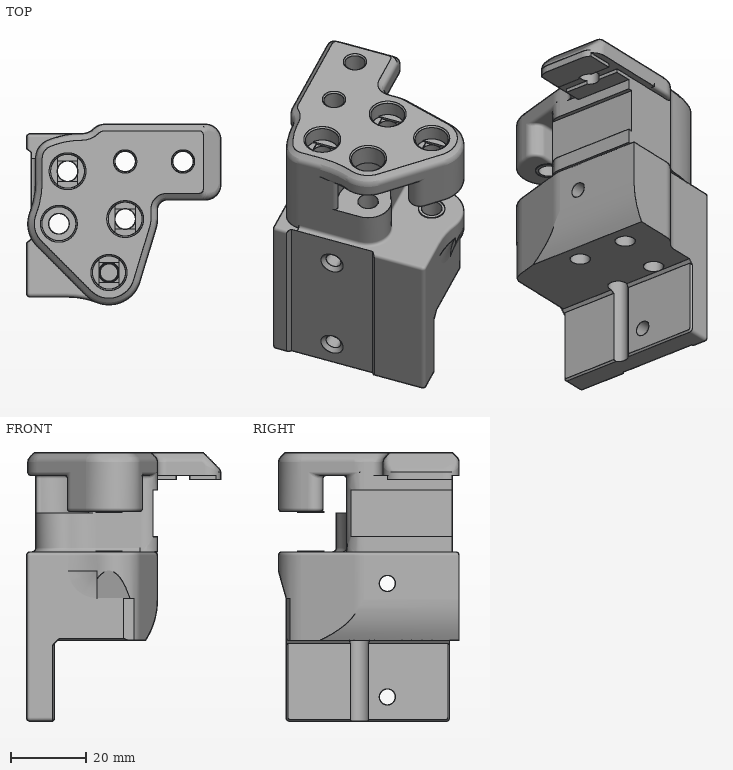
import cadquery as cq
import math

TOTAL_X = 51.65
TOTAL_Y = 48.02
TOTAL_Z = 71.4

TOLERANCE = 0.05

BLOCK_BOTTOM = 21.55
BLOCK_TOP = 45.05
LEVER_SEAT = 55.4
LOBE_BOTTOM = 55.7
CAP_BOTTOM = 65.3
PAD_BOTTOM = 64.25

FRONT_SCREW = (21.9, 8.6)
CENTER_SCREW = (26.2, 22.8)
PIVOT = (8.6, 21.55)
REAR_SCREW = (10.9, 35.5)
ARM_HOLES = [(26.2, 38.1), (41.55, 38.1)]
CORNER_RADIUS = 8.6
PIVOT_CORNER_RADIUS = 8.3
PIVOT_BOSS_RADIUS = 6.2

BODY_LEFT = PIVOT[0] - PIVOT_BOSS_RADIUS
BODY_RIGHT = CENTER_SCREW[0] + CORNER_RADIUS
BODY_BACK = TOTAL_Y - 1.8
SHOULDER_X = 14.7
STEP_END_X = 20.9
SHOULDER_SWEEP = 24.0
REAR_CORNER_Y = 38.9
WAIST_RADIUS = 23.1
ARM_FRONT = 27.85
ARM_CORNER_RADIUS = 4.2
ARM_FILLET = 2.5

PLATE_THICKNESS = 7.4
BASE_FRONT = 2.05
BASE_BACK = 45.5
GROOVE_DEPTH = 1.2
GROOVE_FLANK = 0.95
GROOVE_FLOOR_Y = (17.4, 40.55)
BASE_ROUND = 1.0
NOTCH_CHAMFER = 0.8
INNER_EDGE_CHAMFER = 0.5
BLOCK_CORNER_RADIUS = 20.0
BLOCK_CORNER_DROP = 10.8

BULGE_START_X = 11.1
BULGE_FOOT_Z = 32.7
BULGE_NOSE_Z = 40.0
RELIEF_CHAMFER = ((25.8, BASE_FRONT), (28.5, 3.1))

BODY_FRONT = 18.1
BOSS_BLEND_RADIUS = 12.5
BODY_CORNER_RADIUS = 4.1
POCKET_RADIUS = 8.2
POCKET_EDGE_ROUND = 1.0
SIDE_RECESS_X = 33.6
SIDE_RECESS_Z = (49.1, 61.4)
BODY_FOOT_FILLET = 1.0

CAP_CHAMFER = 1.77
CAP_BLEND = 2.0
TIP_CHAMFER = 4.7
LOBE_BACK = 11.9
LOBE_CORNER_RADIUS = 3.1
LOWER_ROUND = 0.9
CEILING_FILLET = 0.8
PAD_INSET = 1.2
PAD_GROOVE_WIDTH = 3.5

SCREW_DIAMETER = 5.4
HEAD_DIAMETER = 9.0
FRONT_HEAD_DIAMETER = 8.8
HEAD_DEPTH = 4.6
BRIDGE_STEP = 0.3
RIM_CHAMFER = 0.4
SPACER_DIAMETER = 7.0
SPACER_HEIGHT = 0.25
INSERT_DIAMETER = 5.12
INSERT_TIP_DIAMETER = 4.63
INSERT_DEPTH = 12.0
INSERT_LENGTH = 7.0
MOUNT_DIAMETER = 4.2
MOUNT_SINK = 1.05
MOUNT_Y = 28.95
MOUNT_Z = (6.5, 36.65)


def toward(origin, target, distance):
    """Point at a distance from origin in the direction of target."""
    dx = target[0] - origin[0]
    dy = target[1] - origin[1]
    scale = distance / math.hypot(dx, dy)
    return (origin[0] + dx * scale, origin[1] + dy * scale)


def arc_to(path, center, start, end):
    """Extend the path by the shorter arc about center from start to end."""
    radius = math.dist(center, start)
    chord_middle = ((start[0] + end[0]) / 2, (start[1] + end[1]) / 2)
    return path.threePointArc(toward(center, chord_middle, radius), end)


def right_tangent(start, start_radius, end, end_radius):
    """Points where a line touches two circles on the right of the start-to-end direction."""
    length = math.dist(start, end)
    ux = (end[0] - start[0]) / length
    uy = (end[1] - start[1]) / length
    along = (start_radius - end_radius) / length
    across = math.sqrt(1 - along**2)
    nx = ux * along + uy * across
    ny = uy * along - ux * across
    return (
        (start[0] + nx * start_radius, start[1] + ny * start_radius),
        (end[0] + nx * end_radius, end[1] + ny * end_radius),
    )


FLANK_LOW, FLANK_HIGH = right_tangent(FRONT_SCREW, CORNER_RADIUS, CENTER_SCREW, CORNER_RADIUS)
BEVEL_REAR, BEVEL_FRONT = right_tangent(PIVOT, PIVOT_CORNER_RADIUS, FRONT_SCREW, CORNER_RADIUS)


def flank_point(y):
    """Point of the straight right flank at the given Y."""
    slope = (FLANK_HIGH[0] - FLANK_LOW[0]) / (FLANK_HIGH[1] - FLANK_LOW[1])
    return (FLANK_LOW[0] + (y - FLANK_LOW[1]) * slope, y)


def rear_step(path):
    """S-shaped step from the end of the straight back edge down to the shoulder."""
    rise = TOTAL_Y - BASE_BACK
    run = STEP_END_X - SHOULDER_X
    radius = (run**2 + rise**2) / (4 * rise)
    start = (STEP_END_X, TOTAL_Y)
    middle = ((STEP_END_X + SHOULDER_X) / 2, (TOTAL_Y + BASE_BACK) / 2)
    path = path.lineTo(*start)
    path = arc_to(path, (STEP_END_X, TOTAL_Y - radius), start, middle)
    return arc_to(path, (SHOULDER_X, BASE_BACK + radius), middle, (SHOULDER_X, BASE_BACK))


def rear_edge(path):
    """From the straight back edge, over the step and shoulder, to the left face."""
    shoulder = (SHOULDER_X, BASE_BACK)
    sweep_center = (SHOULDER_X, BASE_BACK - SHOULDER_SWEEP)
    height = REAR_CORNER_Y - sweep_center[1]
    offset = SHOULDER_X - BODY_LEFT
    corner_radius = (SHOULDER_SWEEP**2 - height**2 - offset**2) / (2 * (SHOULDER_SWEEP - offset))
    corner_center = (BODY_LEFT + corner_radius, REAR_CORNER_Y)
    corner_start = toward(sweep_center, corner_center, SHOULDER_SWEEP)
    corner_end = (BODY_LEFT, REAR_CORNER_Y)
    path = rear_step(path)
    path = arc_to(path, sweep_center, shoulder, corner_start)
    return arc_to(path, corner_center, corner_start, corner_end)


def waist_and_bevel(path):
    """From the left face, around the pivot corner and the front corner, to the flank."""
    reach = PIVOT_CORNER_RADIUS + WAIST_RADIUS
    waist_x = BODY_LEFT - WAIST_RADIUS
    waist_center = (waist_x, PIVOT[1] + math.sqrt(reach**2 - (PIVOT[0] - waist_x) ** 2))
    waist_start = (BODY_LEFT, waist_center[1])
    waist_end = toward(PIVOT, waist_center, PIVOT_CORNER_RADIUS)
    path = path.lineTo(*waist_start)
    path = arc_to(path, waist_center, waist_start, waist_end)
    path = arc_to(path, PIVOT, waist_end, BEVEL_REAR)
    path = path.lineTo(*BEVEL_FRONT)
    return arc_to(path, FRONT_SCREW, BEVEL_FRONT, FLANK_LOW)


def flank(path):
    """Up the right flank and around the corner at the center screw."""
    path = path.lineTo(*FLANK_HIGH)
    return arc_to(path, CENTER_SCREW, FLANK_HIGH, (BODY_RIGHT, CENTER_SCREW[1]))


def pick_edges(solid, wanted):
    return solid.newObject([edge for edge in solid.edges().vals() if wanted(edge)])


def edge_near(solid, point):
    return solid.edges(cq.selectors.NearestToPointSelector(point))


def prism(outline, bottom, top):
    return outline.close().extrude(top - bottom).translate((0, 0, bottom))


def box(x_range, y_range, z_range):
    corner = (x_range[0], y_range[0], z_range[0])
    size = [pair[1] - pair[0] for pair in (x_range, y_range, z_range)]
    return cq.Workplane().box(*size, centered=False).translate(corner)


def rod(center, diameter, bottom, top):
    disc = cq.Workplane().center(*center).circle(diameter / 2)
    return disc.extrude(top - bottom).translate((0, 0, bottom))


def cone(center, bottom_diameter, top_diameter, bottom, top):
    foot = cq.Vector(*center, bottom)
    solid = cq.Solid.makeCone(bottom_diameter / 2, top_diameter / 2, top - bottom, foot)
    return cq.Workplane(solid)


def base_block():
    """Block whose front bulges around the front screw, with the blend that starts the bulge."""
    run = FRONT_SCREW[0] - BULGE_START_X
    drop = FRONT_SCREW[1] - BASE_FRONT
    blend = (run**2 + drop**2 - CORNER_RADIUS**2) / (2 * (CORNER_RADIUS - drop))
    blend_center = (BULGE_START_X, BASE_FRONT - blend)
    bulge_start = (BULGE_START_X, BASE_FRONT)
    blend_end = toward(FRONT_SCREW, blend_center, CORNER_RADIUS)

    path = cq.Workplane().moveTo(0, BASE_FRONT).lineTo(*bulge_start)
    path = arc_to(path, blend_center, bulge_start, blend_end)
    path = arc_to(path, FRONT_SCREW, blend_end, FLANK_LOW)
    path = rear_step(flank(path).lineTo(BODY_RIGHT, TOTAL_Y)).lineTo(0, BASE_BACK)
    return prism(path, BLOCK_BOTTOM, BLOCK_TOP), blend_center, blend_end


def bulge_relief(blend_center, blend_end):
    """Space below the bulge: its underside slopes back and scoops round on the left."""
    scoop_x, scoop_y = blend_end
    (strip_x, strip_y), (strip_end_x, strip_end_y) = RELIEF_CHAMFER
    outside = -1.0
    room = (
        cq.Workplane()
        .moveTo(0, outside)
        .lineTo(strip_end_x, outside)
        .lineTo(strip_end_x, strip_end_y)
        .lineTo(strip_x, strip_y)
        .lineTo(0, BASE_FRONT)
    )
    room = prism(room, BLOCK_BOTTOM, BULGE_NOSE_Z)
    slope = (
        cq.Workplane("YZ")
        .moveTo(strip_end_y, BULGE_FOOT_Z)
        .lineTo(BASE_FRONT, BULGE_FOOT_Z)
        .lineTo(0, BULGE_NOSE_Z)
        .lineTo(strip_end_y, BULGE_NOSE_Z)
        .close()
        .extrude(strip_end_x - scoop_x)
        .translate((scoop_x, 0, 0))
    )
    scoop_radius = scoop_x - BULGE_START_X
    scoop_top = BULGE_FOOT_Z + scoop_radius
    above_scoop = box((0, scoop_x), (outside, BASE_FRONT), (scoop_top, BULGE_NOSE_Z + scoop_radius))
    scoop = cq.Workplane().moveTo(BULGE_START_X, BASE_FRONT)
    scoop = arc_to(scoop, blend_center, (BULGE_START_X, BASE_FRONT), (scoop_x, scoop_y))
    scoop = scoop.lineTo(scoop_x, BASE_FRONT).close()
    scoop = scoop.revolve(360, (scoop_x, 0, 0), (scoop_x, 1, 0)).translate((0, 0, scoop_top))
    return room.cut(slope).cut(above_scoop).cut(scoop)


def block_corner_cut():
    """Material outside the large radius under the right end of the block."""
    start = (BODY_RIGHT, BLOCK_BOTTOM + BLOCK_CORNER_DROP)
    center = (BODY_RIGHT - BLOCK_CORNER_RADIUS, start[1])
    end_x = center[0] + math.sqrt(BLOCK_CORNER_RADIUS**2 - BLOCK_CORNER_DROP**2)
    path = cq.Workplane("XZ").moveTo(*start)
    path = arc_to(path, center, start, (end_x, BLOCK_BOTTOM))
    return path.lineTo(BODY_RIGHT, BLOCK_BOTTOM).close().extrude(-TOTAL_Y)


def mounting_groove():
    """Shallow full-height groove with sloped flanks in the mounting face."""
    low, high = GROOVE_FLOOR_Y
    path = (
        cq.Workplane()
        .moveTo(GROOVE_DEPTH, low)
        .lineTo(GROOVE_DEPTH, high)
        .lineTo(0, high + GROOVE_FLANK)
        .lineTo(0, low - GROOVE_FLANK)
    )
    return prism(path, 0, BLOCK_TOP)


def base():
    block, blend_center, blend_end = base_block()
    plate = box((0, PLATE_THICKNESS), (BASE_FRONT, BASE_BACK), (0, BLOCK_TOP))
    solid = block.cut(block_corner_cut()).union(plate)

    def is_rounded(edge):
        middle = edge.Center()
        on_top = middle.z > BLOCK_TOP - TOLERANCE
        on_foot = middle.z < TOLERANCE and middle.x < PLATE_THICKNESS - TOLERANCE
        on_left = middle.x < TOLERANCE
        on_right = middle.x > FLANK_HIGH[0]
        on_step = middle.y > BASE_BACK + TOLERANCE
        return on_left or on_foot or (on_top and not on_right and not on_step)

    def is_notch_rim(edge):
        middle = edge.Center()
        on_inner_face = abs(middle.x - PLATE_THICKNESS) < TOLERANCE
        on_front = abs(middle.y - BASE_FRONT) < TOLERANCE
        on_foot = middle.z < TOLERANCE
        under_block = abs(middle.z - BLOCK_BOTTOM) < TOLERANCE
        return on_inner_face and (on_foot or on_front) or under_block and on_front

    solid = pick_edges(solid, is_rounded).fillet(BASE_ROUND)
    solid = solid.cut(bulge_relief(blend_center, blend_end)).cut(mounting_groove())
    inner_corner = (PLATE_THICKNESS, TOTAL_Y / 2, BLOCK_BOTTOM)
    solid = edge_near(solid, inner_corner).chamfer(NOTCH_CHAMFER)
    return pick_edges(solid, is_notch_rim).chamfer(INNER_EDGE_CHAMFER)


def body_outline():
    blend_reach = PIVOT_BOSS_RADIUS + BOSS_BLEND_RADIUS
    blend_drop = PIVOT[1] - BODY_FRONT + BOSS_BLEND_RADIUS
    blend_x = PIVOT[0] + math.sqrt(blend_reach**2 - blend_drop**2)
    blend_center = (blend_x, BODY_FRONT - BOSS_BLEND_RADIUS)
    boss_left = (BODY_LEFT, PIVOT[1])
    boss_bottom = (PIVOT[0], PIVOT[1] - PIVOT_BOSS_RADIUS)
    boss_end = toward(PIVOT, blend_center, PIVOT_BOSS_RADIUS)

    path = cq.Workplane().moveTo(BODY_RIGHT, TOTAL_Y)
    path = rear_edge(path).lineTo(*boss_left)
    path = arc_to(path, PIVOT, boss_left, boss_bottom)
    path = arc_to(path, PIVOT, boss_bottom, boss_end)
    path = arc_to(path, blend_center, boss_end, (blend_x, BODY_FRONT))
    return flank(path.lineTo(*flank_point(BODY_FRONT)))


def body():
    """Column between base and cap, with a round pocket above the pivot boss."""
    top = CAP_BOTTOM + LOWER_ROUND
    solid = prism(body_outline(), BLOCK_TOP, top)
    solid = edge_near(solid, (*flank_point(BODY_FRONT), LEVER_SEAT)).fillet(BODY_CORNER_RADIUS)
    solid = solid.intersect(box((0, TOTAL_X), (0, BODY_BACK), (0, TOTAL_Z)))
    solid = solid.cut(rod(PIVOT, 2 * POCKET_RADIUS, LEVER_SEAT, top))

    def is_pocket_edge(edge):
        middle = edge.Center()
        on_pocket = abs(math.dist((middle.x, middle.y), PIVOT) - POCKET_RADIUS) < TOLERANCE
        return on_pocket and edge.geomType() == "LINE"

    solid = pick_edges(solid, is_pocket_edge).fillet(POCKET_EDGE_ROUND)
    return solid.cut(box((SIDE_RECESS_X, TOTAL_X), (0, TOTAL_Y), SIDE_RECESS_Z))


def cap_outline():
    corner_y = ARM_FRONT - ARM_FILLET
    fillet_center = (BODY_RIGHT + ARM_FILLET, corner_y)
    fillet_end = (BODY_RIGHT + ARM_FILLET, ARM_FRONT)
    path = cq.Workplane().moveTo(TOTAL_X, TOTAL_Y)
    path = flank(waist_and_bevel(rear_edge(path)))
    path = path.lineTo(BODY_RIGHT, corner_y)
    path = arc_to(path, fillet_center, (BODY_RIGHT, corner_y), fillet_end)
    return path.lineTo(TOTAL_X, ARM_FRONT)


def arm_end(bottom, top):
    """Rounded plan shape of the arm, reaching back over the whole cap."""
    solid = box((0, TOTAL_X), (ARM_FRONT, TOTAL_Y), (bottom, top))
    return solid.edges("|Z and >X").fillet(ARM_CORNER_RADIUS)


def arm_tip_cut():
    """Material above the sloped tip of the arm."""
    path = cq.Workplane("XZ").moveTo(TOTAL_X - TIP_CHAMFER, TOTAL_Z)
    path = path.lineTo(TOTAL_X, TOTAL_Z - TIP_CHAMFER).lineTo(TOTAL_X, TOTAL_Z)
    return path.close().extrude(-TOTAL_Y)


def is_on_front_outline(middle):
    """True for places on the cap outline from the waist round the front to the flank."""
    on_bevel = middle.x + middle.y < BEVEL_FRONT[0] + BEVEL_FRONT[1] + TOLERANCE
    on_left = middle.x < BODY_LEFT + TOLERANCE or on_bevel
    before_rear_corner = middle.y < REAR_CORNER_Y - WAIST_RADIUS / 4
    return on_left and before_rear_corner or middle.y < LOBE_BACK


def lobe():
    """Lobe of the cap that reaches down around the front screw."""
    solid = prism(cap_outline(), LOBE_BOTTOM, CAP_BOTTOM + LOWER_ROUND)
    solid = solid.intersect(box((0, TOTAL_X), (0, LOBE_BACK), (0, TOTAL_Z)))
    solid = solid.edges("|Z and >Y").fillet(LOBE_CORNER_RADIUS)
    return solid.faces("<Z").edges().fillet(LOWER_ROUND)


def arm_pad():
    """Raised pad under the arm, split by a groove through the outer hole."""
    pad = arm_end(PAD_BOTTOM, CAP_BOTTOM)
    pad = pad.intersect(box((BODY_RIGHT, TOTAL_X), (ARM_FRONT + PAD_INSET, BODY_BACK), (0, TOTAL_Z)))
    groove_x = ARM_HOLES[1][0]
    half = PAD_GROOVE_WIDTH / 2
    return pad.cut(box((groove_x - half, groove_x + half), (0, TOTAL_Y), (0, CAP_BOTTOM)))


def cap():
    """Top plate with its arm, the arm's pad and the front lobe."""
    solid = prism(cap_outline(), CAP_BOTTOM, TOTAL_Z)
    shoulder_z = TOTAL_Z - CAP_CHAMFER

    def is_top_rim(edge):
        middle = edge.Center()
        return middle.z > TOTAL_Z - TOLERANCE and middle.x < TOTAL_X - TOLERANCE

    def is_chamfer_foot(edge):
        middle = edge.Center()
        return abs(middle.z - shoulder_z) < TOLERANCE and middle.x < TOTAL_X - TOLERANCE

    def is_tip_rim(edge):
        middle = edge.Center()
        on_slope = abs(middle.x + middle.z - TOTAL_X - TOTAL_Z + TIP_CHAMFER) < TOLERANCE
        return on_slope and middle.z < shoulder_z

    def is_lower_rim(edge):
        middle = edge.Center()
        return middle.z < CAP_BOTTOM + TOLERANCE and is_on_front_outline(middle)

    arm_corners = box((BODY_RIGHT, TOTAL_X), (ARM_FRONT, TOTAL_Y), (CAP_BOTTOM, TOTAL_Z))
    arm_corners = arm_corners.cut(arm_end(CAP_BOTTOM, TOTAL_Z))
    solid = pick_edges(solid, is_top_rim).chamfer(CAP_CHAMFER)
    solid = pick_edges(solid, is_chamfer_foot).fillet(CAP_BLEND)
    solid = solid.cut(arm_corners).cut(arm_tip_cut())
    solid = pick_edges(solid, is_tip_rim).fillet(CAP_BLEND)
    solid = pick_edges(solid, is_lower_rim).fillet(LOWER_ROUND)
    square_rim = prism(cap_outline(), CAP_BOTTOM, CAP_BOTTOM + LOWER_ROUND).cut(arm_corners)
    rear_zone = box((CENTER_SCREW[0], TOTAL_X), (CENTER_SCREW[1], TOTAL_Y), (0, TOTAL_Z))
    solid = solid.union(square_rim.intersect(rear_zone))
    return solid.union(arm_pad()).union(lobe())


def head_seat(center, diameter):
    """Counterbore with two stepped bridges that lead from its floor into the screw hole."""
    half = SCREW_DIAMETER / 2
    floor = TOTAL_Z - HEAD_DEPTH
    x_band = (center[0] - half, center[0] + half)
    y_band = (center[1] - half, center[1] + half)
    y_reach = (center[1] - diameter / 2, center[1] + diameter / 2)
    first_step = (floor - BRIDGE_STEP, floor)
    second_step = (floor - 2 * BRIDGE_STEP, floor - BRIDGE_STEP)
    slot = box(x_band, y_reach, first_step).intersect(rod(center, diameter, *first_step))
    return rod(center, diameter, floor, TOTAL_Z).union(slot).union(box(x_band, y_band, second_step))


def rim(center, diameter):
    """Chamfer at the top of a hole."""
    return cone(center, diameter, diameter + 2 * RIM_CHAMFER, TOTAL_Z - RIM_CHAMFER, TOTAL_Z)


def insert_hole(center):
    """Blind hole for a threaded insert, with a slightly tapered barrel and a narrower tip."""
    mouth = BLOCK_TOP + SPACER_HEIGHT
    shoulder = BLOCK_TOP - INSERT_LENGTH
    barrel = cone(center, INSERT_DIAMETER, SCREW_DIAMETER, shoulder, mouth)
    return barrel.union(rod(center, INSERT_TIP_DIAMETER, BLOCK_TOP - INSERT_DEPTH, shoulder))


def mounting_hole(z):
    """Hole along X with a countersink in the groove of the mounting face."""
    radius = MOUNT_DIAMETER / 2
    start = cq.Vector(GROOVE_DEPTH, MOUNT_Y, z)
    along = cq.Vector(1, 0, 0)
    drill = cq.Solid.makeCylinder(radius, BODY_RIGHT, start, along)
    sink = cq.Solid.makeCone(radius + MOUNT_SINK, radius, MOUNT_SINK, start, along)
    return cq.Workplane(drill).union(cq.Workplane(sink))


def drill_holes(solid):
    for center in (REAR_SCREW, CENTER_SCREW):
        solid = solid.cut(head_seat(center, HEAD_DIAMETER))
        solid = solid.cut(rim(center, HEAD_DIAMETER))
        solid = solid.cut(rod(center, SCREW_DIAMETER, 0, TOTAL_Z))
    solid = solid.cut(head_seat(FRONT_SCREW, FRONT_HEAD_DIAMETER))
    solid = solid.cut(rim(FRONT_SCREW, FRONT_HEAD_DIAMETER))
    solid = solid.cut(rod(FRONT_SCREW, SCREW_DIAMETER, LEVER_SEAT, TOTAL_Z))
    solid = solid.cut(insert_hole(FRONT_SCREW))
    solid = solid.cut(rod(PIVOT, HEAD_DIAMETER, LEVER_SEAT, TOTAL_Z))
    solid = solid.cut(rim(PIVOT, HEAD_DIAMETER))
    solid = solid.cut(rod(PIVOT, SCREW_DIAMETER, 0, LEVER_SEAT))
    for center in ARM_HOLES:
        solid = solid.cut(rod(center, SCREW_DIAMETER, 0, TOTAL_Z))
        solid = solid.cut(rim(center, SCREW_DIAMETER))
    for z in MOUNT_Z:
        solid = solid.cut(mounting_hole(z))
    return solid


def base_with_body():
    """Body on its base, with a fillet around the front and left of the body's foot."""
    whole_body = body()
    front_zone = box((0, FLANK_LOW[0]), (0, REAR_CORNER_Y), (0, TOTAL_Z))
    boss_foot = (PIVOT[0], PIVOT[1] - PIVOT_BOSS_RADIUS, BLOCK_TOP)
    solid = base().union(whole_body.intersect(front_zone))
    solid = edge_near(solid, boss_foot).fillet(BODY_FOOT_FILLET)
    return solid.union(whole_body.cut(front_zone))


def fillet_lever_ceiling(solid):
    """Fillet the ceiling of the lever gap, where the cap meets the body and the lobe."""
    for wall_y in (BODY_FRONT, LOBE_BACK):
        solid = edge_near(solid, (CENTER_SCREW[0], wall_y, CAP_BOTTOM)).fillet(CEILING_FILLET)
    return solid


def spacer_rings():
    """Thin rings around the front screw that face each other across its gap."""
    lower = rod(FRONT_SCREW, SPACER_DIAMETER, BLOCK_TOP, BLOCK_TOP + SPACER_HEIGHT)
    upper = rod(FRONT_SCREW, SPACER_DIAMETER, LOBE_BOTTOM - SPACER_HEIGHT, LOBE_BOTTOM)
    return lower.union(upper)


blank = fillet_lever_ceiling(base_with_body().union(cap()))
result = drill_holes(blank.union(spacer_rings()))